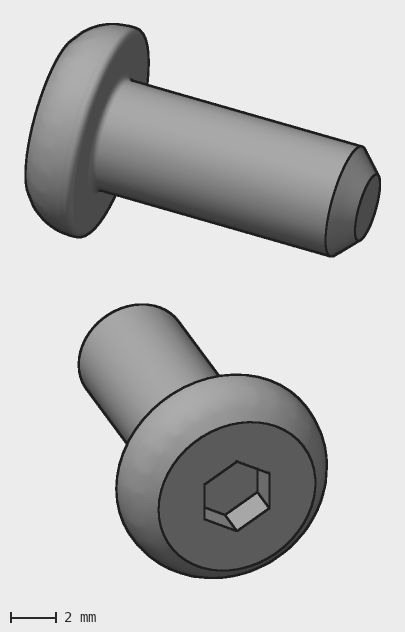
import cadquery as cq
import math

total_length = 14.6
head_diameter = 9.5
head_height = 2.6
face_diameter = 7.25
dome_height = 2.07
rim_radius = 0.29
shank_diameter = 5.0
neck_radius = 0.28
tip_chamfer = 1.0
socket_flats = 3.0
socket_depth = 1.56

head_r = head_diameter / 2
face_r = face_diameter / 2
shank_r = shank_diameter / 2

dome_drop = head_r - face_r
dome_radius = (dome_height**2 + dome_drop**2) / (2 * dome_drop)
half_angle = math.asin(dome_height / dome_radius) / 2
dome_middle = (
    dome_height - dome_radius * math.sin(half_angle),
    head_r - dome_radius * (1 - math.cos(half_angle)),
)


def make_body():
    """Revolve the half outline of head and shank about the X axis."""
    outline = (
        cq.Workplane("XY")
        .lineTo(0, face_r)
        .threePointArc(dome_middle, (dome_height, head_r))
        .lineTo(head_height - rim_radius, head_r)
        .radiusArc((head_height, head_r - rim_radius), rim_radius)
        .lineTo(head_height, shank_r + neck_radius)
        .radiusArc((head_height + neck_radius, shank_r), -neck_radius)
        .lineTo(total_length - tip_chamfer, shank_r)
        .lineTo(total_length, shank_r - tip_chamfer)
        .lineTo(total_length, 0)
        .close()
    )
    return outline.revolve(360, (0, 0, 0), (1, 0, 0))


def make_socket():
    """Hexagonal prism with two flats facing +Y and -Y."""
    across_corners = socket_flats / math.cos(math.radians(30))
    return (
        cq.Workplane("YZ")
        .transformed(rotate=(0, 0, 90))
        .polygon(6, across_corners)
        .extrude(socket_depth)
    )


result = make_body().cut(make_socket())